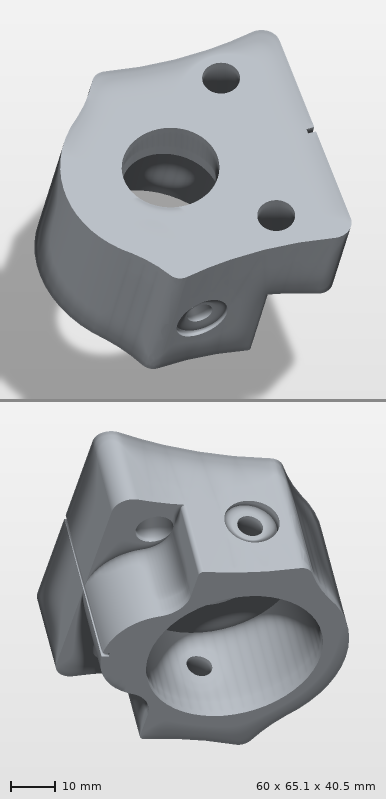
import cadquery as cq
import math

tilt = 12.0
tilt_sin = math.sin(math.radians(tilt))
tilt_cos = math.cos(math.radians(tilt))

nose_radius = 26.35
nose_tangent_angle = 49.0
back_v = 31.35
total_height = 40.55
waist_half_width = 28.1
waist_v = 9.1
waist_radius = 82.0
shoulder_v = -10.15
flare_bulge = 0.6
back_corner_radius = 4.2
shoulder_corner_radius = 3.05

bore_diameter = 40.7
bore_depth = 25.05
top_hole_diameter = 22.0
top_hole_y = 5.1
bolt_diameter = 8.5
bolt_x = 20.0
bolt_y = 23.55
side_hole_diameter = 6.0
side_hole_w = 15.0
counterbore_diameter = 12.5
counterbore_half_spacing = 27.15

relief_height = 20.2
relief_diameter = 14.0
relief_v = 22.45
relief_corner_radius = 1.05

notch_width = 1.25
notch_depth = 1.8

top_z = total_height - back_v * tilt_sin
reach = 2 * total_height

tilted_plane = cq.Plane(
    origin=(0, 0, 0), xDir=(1, 0, 0), normal=(0, tilt_sin, tilt_cos)
)


def waist_x(v):
    """Half width of the body on the concave side, at position v."""
    return waist_half_width + waist_radius - math.sqrt(waist_radius**2 - (v - waist_v) ** 2)


def mirrored(point):
    return (-point[0], point[1])


def axial_cylinder(diameter, height):
    return cq.Workplane(tilted_plane).circle(diameter / 2).extrude(height)


def vertical_cylinder(diameter, x, y):
    return cq.Workplane("XY", origin=(x, y, 0)).circle(diameter / 2).extrude(reach, both=True)


def cross_cylinder(diameter, start_x, end_x):
    """Cylinder along X, crossing the bore axis at the side hole height."""
    plane = cq.Plane(
        origin=(start_x, side_hole_w * tilt_sin, side_hole_w * tilt_cos),
        xDir=(0, 1, 0),
        normal=(1, 0, 0),
    )
    return cq.Workplane(plane).circle(diameter / 2).extrude(end_x - start_x)


def round_corners(solid, corner, radius):
    """Round the lengthwise edge at an outline corner and its mirror image."""
    for u, v in (corner, mirrored(corner)):
        edge_middle = tilted_plane.toWorldCoords((u, v, reach / 2))
        nearest = cq.selectors.NearestToPointSelector(edge_middle.toTuple())
        solid = solid.edges(nearest).fillet(radius)
    return solid


def body():
    angle = math.radians(nose_tangent_angle)
    nose_end = (nose_radius * math.sin(angle), -nose_radius * math.cos(angle))
    shoulder = (waist_x(shoulder_v), shoulder_v)
    back = (waist_x(back_v), back_v)
    waist = (waist_half_width, waist_v)
    prism = (
        cq.Workplane(tilted_plane)
        .moveTo(*mirrored(nose_end))
        .threePointArc((0, -nose_radius), nose_end)
        .sagittaArc(shoulder, flare_bulge)
        .threePointArc(waist, back)
        .lineTo(*mirrored(back))
        .threePointArc(mirrored(waist), mirrored(shoulder))
        .sagittaArc(mirrored(nose_end), flare_bulge)
        .close()
        .extrude(reach)
    )

    prism = round_corners(prism, back, back_corner_radius)
    prism = round_corners(prism, shoulder, shoulder_corner_radius)
    above_top = cq.Workplane("XY").workplane(offset=top_z).rect(2 * reach, 2 * reach).extrude(reach)
    return prism.cut(above_top)


def corner_relief(side):
    """Pocket outside a rounded tongue, hollowed around one bolt; side is 1 or -1."""
    relief_radius = relief_diameter / 2
    bolt_inset = back_v - relief_v
    tongue_radius = (bolt_x**2 + bolt_inset**2 - relief_radius**2) / (2 * (bolt_inset + relief_radius))
    tongue_v = back_v - tongue_radius
    along = tongue_radius / (tongue_radius + relief_radius)
    touch = (bolt_x * along, tongue_v + (relief_v - tongue_v) * along)
    touch_angle = math.atan2(touch[1] - tongue_v, touch[0])
    half_angle = (touch_angle + math.pi / 2) / 2
    tongue_middle = (tongue_radius * math.cos(half_angle), tongue_v + tongue_radius * math.sin(half_angle))
    hollow_angle = (touch_angle + 2.5 * math.pi) / 2
    hollow_middle = (
        bolt_x + relief_radius * math.cos(hollow_angle),
        relief_v + relief_radius * math.sin(hollow_angle),
    )
    floor_v = relief_v - relief_radius
    lip_v = floor_v - relief_corner_radius
    lip_u = waist_x(lip_v)
    lip_start = lip_u - relief_corner_radius
    lip_middle = (
        lip_start + relief_corner_radius * math.sin(math.pi / 4),
        lip_v + relief_corner_radius * math.cos(math.pi / 4),
    )
    pocket = (
        cq.Workplane(tilted_plane)
        .moveTo(0, back_v)
        .threePointArc(tongue_middle, touch)
        .threePointArc(hollow_middle, (bolt_x, floor_v))
        .lineTo(lip_start, floor_v)
        .threePointArc(lip_middle, (lip_u, lip_v))
        .lineTo(reach, lip_v)
        .lineTo(reach, reach)
        .lineTo(0, reach)
        .close()
        .extrude(relief_height)
    )
    return pocket if side > 0 else pocket.mirror("YZ")


def back_notch():
    return (
        cq.Workplane(tilted_plane)
        .center(0, back_v)
        .rect(notch_width, 2 * notch_depth)
        .extrude(reach)
    )


result = body()
result = result.cut(axial_cylinder(bore_diameter, bore_depth))
result = result.cut(vertical_cylinder(top_hole_diameter, 0, top_hole_y))
result = result.cut(cross_cylinder(side_hole_diameter, -reach, reach))
for side in (-1, 1):
    result = result.cut(corner_relief(side))
    result = result.cut(vertical_cylinder(bolt_diameter, side * bolt_x, bolt_y))
    result = result.cut(cross_cylinder(counterbore_diameter, side * counterbore_half_spacing, side * reach))
result = result.cut(back_notch())